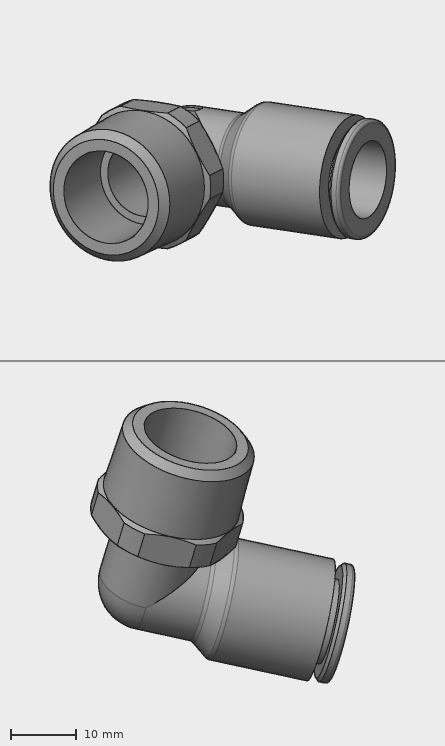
import cadquery as cq
import math


leg_radius = 7.28
bore_radius = 6.0

cone_start = 8.8
cone_end = 11.8
socket_end = 27.35
socket_radius = 9.5
cone_blend = 1.05

collar_neck_radius = 6.6
collar_radius = 9.25
collar_start = 28.7
collar_end = 30.6
collar_edge = 0.5

hex_start = 10.3
hex_end = 15.52
hex_flats = 21.5
hex_corner_radius = 11.5
hex_face_radius = 10.7
hex_edge_depth = 0.5
leg_blend = 0.93

thread_end = 27.3
thread_start_radius = 10.7
thread_taper = 1 / 32
thread_edge = 1.25
stud_bore_radius = leg_radius

badge_radius = 1.75
badge_floor = 6.75


def along_x(start, end, radius):
    """Cylinder on the X axis."""
    return cq.Workplane("YZ", origin=(start, 0, 0)).circle(radius).extrude(end - start)


def along_minus_y(start, end, radius):
    """Cylinder on the Y axis, positions counted towards -Y."""
    return cq.Workplane("XZ", origin=(0, -start, 0)).circle(radius).extrude(end - start)


def revolve_about_y(points):
    """Solid of revolution from (radius, distance towards -Y) points."""
    outline = [(radius, -distance) for radius, distance in points]
    return cq.Workplane("XY").polyline(outline).close().revolve(360, (0, 0, 0), (0, 1, 0))


def mitred_elbow(radius, x_end, y_end):
    """Two cylinders mitred at the origin, with a quarter sphere round the outer corner."""
    reach = radius + max(x_end, y_end)
    x_side = [(0, 0), (0, reach), (reach, reach), (reach, -reach)]
    y_side = [(0, 0), (-reach, 0), (-reach, -reach), (reach, -reach)]
    x_region = cq.Workplane("XY").polyline(x_side).close().extrude(reach, both=True)
    y_region = cq.Workplane("XY").polyline(y_side).close().extrude(reach, both=True)
    x_leg = along_x(0, x_end, radius).intersect(x_region)
    y_leg = along_minus_y(0, y_end, radius).intersect(y_region)
    quadrant = cq.Workplane("YZ").lineTo(0, radius).radiusArc((radius, 0), radius).close()
    corner = quadrant.revolve(180, (0, 0, 0), (-1, 0, 0))
    return x_leg.union(y_leg).union(corner)


def tube_socket():
    """Leg end that widens through a blended cone into the socket cylinder."""
    outline = [
        (leg_radius, 0),
        (leg_radius, leg_radius),
        (cone_start, leg_radius),
        (cone_end, socket_radius),
        (socket_end, socket_radius),
        (socket_end, 0),
    ]
    socket = cq.Workplane("XY").polyline(outline).close().revolve(360, (0, 0, 0), (1, 0, 0))
    margin = 0.05
    for x, radius in ((cone_start, leg_radius), (cone_end, socket_radius)):
        reach = radius + margin
        rim = cq.selectors.BoxSelector(
            (x - margin, -reach, -reach), (x + margin, reach, reach), boundingbox=True
        )
        socket = socket.edges(rim).fillet(cone_blend)
    return socket


def release_collar():
    """Narrow neck and flange, chamfered on the socket side and rounded outside."""
    flange = along_x(collar_start, collar_end, collar_radius)
    flange = flange.faces("<X").edges().chamfer(collar_edge)
    flange = flange.faces(">X").edges().fillet(collar_edge)
    return along_x(socket_end, collar_end, collar_neck_radius).union(flange)


def hexagon():
    """Hexagon with flats facing +Z and -Z, its corners turned down and bevelled."""
    across_corners = hex_flats / math.cos(math.pi / 6)
    prism = cq.Workplane("XZ", origin=(0, -hex_start, 0))
    prism = prism.polygon(6, across_corners).extrude(hex_end - hex_start)
    turned = revolve_about_y([
        (0, hex_start),
        (hex_face_radius, hex_start),
        (hex_corner_radius, hex_start + hex_edge_depth),
        (hex_corner_radius, hex_end - hex_edge_depth),
        (hex_face_radius, hex_end),
        (0, hex_end),
    ])
    return prism.intersect(turned)


def leg_flare():
    """Concave ring that blends the leg into the hexagon face."""
    top = -(hex_start - leg_blend)
    flare = cq.Workplane("XY").moveTo(0, top).lineTo(leg_radius, top)
    flare = flare.radiusArc((leg_radius + leg_blend, -hex_start), -leg_blend)
    return flare.lineTo(0, -hex_start).close().revolve(360, (0, 0, 0), (0, 1, 0))


def thread_body():
    """Tapered thread envelope with a chamfered tip."""
    edge_start = thread_end - thread_edge
    edge_radius = thread_start_radius - thread_taper * (edge_start - hex_end)
    return revolve_about_y([
        (0, hex_end),
        (thread_start_radius, hex_end),
        (edge_radius, edge_start),
        (edge_radius - thread_edge, thread_end),
        (0, thread_end),
    ])


outside = mitred_elbow(leg_radius, leg_radius, hex_start - leg_blend)
for section in (tube_socket(), release_collar(), leg_flare(), hexagon(), thread_body()):
    outside = outside.union(section)

passage = mitred_elbow(bore_radius, collar_end, thread_end)
stud_bore = along_minus_y(hex_end, thread_end, stud_bore_radius)
badge = cq.Workplane("XY", origin=(0, 0, badge_floor)).circle(badge_radius)
badge = badge.extrude(leg_radius - badge_floor)

result = outside.cut(passage).cut(stud_bore).cut(badge)